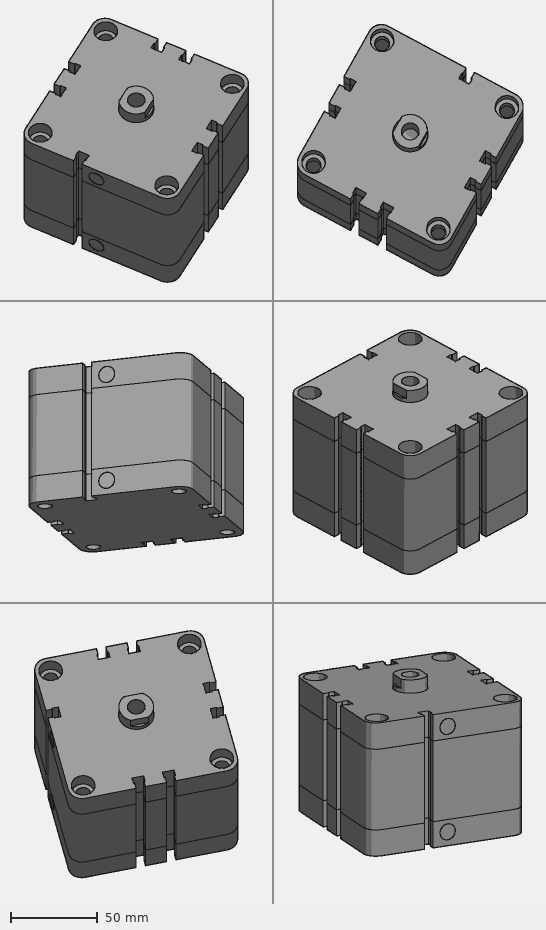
import cadquery as cq
import math

side = 100.0
half_side = side / 2
corner_radius = 8.0
cap_height = 16.0
body_height = 81.0
barrel_height = body_height - 2 * cap_height
top_cap_base = body_height - cap_height

slot_mouth_width = 5.5
slot_inner_width = 6.8
slot_mouth_depth = 3.9
slot_depth = 7.5
pair_offset = 9.0
single_slot_x = -12.0

mount_spacing = 82.0
mount_diameter = 8.5
counterbore_diameter = 13.5
counterbore_depth = 8.5

port_diameter = 9.7
port_depth = 0.2
port_height = 8.5

rod_diameter = 20.0
rod_bore_diameter = 20.5
rod_projection = 8.0
rod_length = cap_height + rod_projection
flat_width = 17.0
flat_height = 5.6
rod_hole_diameter = 10.0
rod_hole_depth = 15.0
drill_point_angle = 118.0

slots = [(single_slot_x, 0)]
slots += [(offset, turn) for turn in (90, 180, 270) for offset in (-pair_offset, pair_offset)]


def slot_cutter(position, turn, height):
    """T-slot prism in the -Y side at X = position, then turned about Z."""
    mouth = cq.Workplane("XY").box(
        slot_mouth_width, slot_mouth_depth, height, centered=(True, False, False)
    )
    inner = (
        cq.Workplane("XY")
        .box(slot_inner_width, slot_depth - slot_mouth_depth, height, centered=(True, False, False))
        .translate((0, slot_mouth_depth, 0))
    )
    cutter = mouth.union(inner).translate((position, -half_side, 0))
    return cutter.rotate((0, 0, 0), (0, 0, 1), turn)


def body_section(base_z, height):
    """Rounded square section of the body with its slots and mounting holes."""
    section = cq.Workplane("XY").rect(side, side).extrude(height).edges("|Z").fillet(corner_radius)
    for position, turn in slots:
        section = section.cut(slot_cutter(position, turn, height))
    section = (
        section.faces(">Z").workplane(origin=(0, 0, height))
        .rect(mount_spacing, mount_spacing, forConstruction=True).vertices()
        .hole(mount_diameter)
    )
    return section.translate((0, 0, base_z))


def port_recess(axis_z):
    """Disc that sinks a port into the -Y face."""
    return (
        cq.Workplane("XZ", origin=(0, -half_side, axis_z))
        .circle(port_diameter / 2).extrude(-port_depth)
    )


def make_bottom_cap():
    return body_section(0, cap_height).cut(port_recess(port_height))


def make_barrel():
    return body_section(cap_height, barrel_height)


def make_top_cap():
    cap = body_section(top_cap_base, cap_height).cut(port_recess(body_height - port_height))
    counterbores = (
        cq.Workplane("XY", origin=(0, 0, body_height))
        .rect(mount_spacing, mount_spacing, forConstruction=True).vertices()
        .circle(counterbore_diameter / 2).extrude(-counterbore_depth)
    )
    rod_bore = (
        cq.Workplane("XY", origin=(0, 0, top_cap_base))
        .circle(rod_bore_diameter / 2).extrude(cap_height)
    )
    return cap.cut(counterbores).cut(rod_bore)


def make_rod():
    """Rod standing on the barrel, with two wrench flats and a drilled hole in its end."""
    rod = cq.Workplane("XY").circle(rod_diameter / 2).extrude(rod_length)

    flat_x = (flat_width + rod_diameter) / 2
    for direction in (-1, 1):
        flat = cq.Workplane("XY").box(
            rod_diameter, rod_diameter, flat_height, centered=(True, True, False)
        )
        rod = rod.cut(flat.translate((direction * flat_x, 0, rod_length - flat_height)))

    hole_radius = rod_hole_diameter / 2
    point_height = hole_radius / math.tan(math.radians(drill_point_angle / 2))
    hole_floor = rod_length - rod_hole_depth
    hole = (
        cq.Workplane("XZ")
        .moveTo(0, rod_length)
        .lineTo(hole_radius, rod_length)
        .lineTo(hole_radius, hole_floor)
        .lineTo(0, hole_floor - point_height)
        .close()
        .revolve(360, (0, 0, 0), (0, 1, 0))
    )
    return rod.cut(hole).translate((0, 0, top_cap_base))


bottom_cap = make_bottom_cap()
barrel = make_barrel()
top_cap = make_top_cap()
rod = make_rod()

result = cq.Compound.makeCompound([bottom_cap.val(), barrel.val(), top_cap.val(), rod.val()])